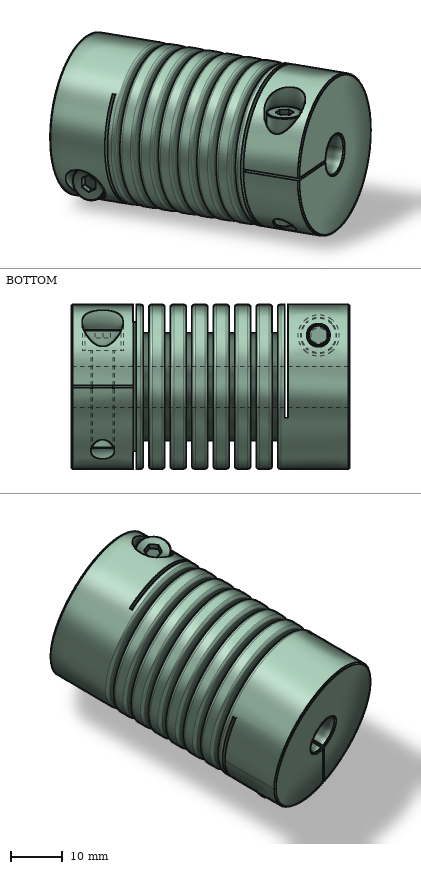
import cadquery as cq
import math

length = 54.0
outer_diameter = 32.0
outer_radius = outer_diameter / 2
bore_radius = 4.0
end_chamfer = 0.25
bore_chamfer = 0.25

hub_length = 14.0
groove_count = 7
groove_width = 1.0
groove_radius = 10.55
rib_fillet = 0.65

slit_offset = 12.0
slit_width = 0.6
left_slit_floor = 9.95
right_slit_floor = 6.0
slot_width = 0.5

screw_inset = 6.05
screw_offset = 10.0
head_radius = 3.5
head_height = 4.0
head_chamfer = 0.15
head_top = 11.0
socket_width = 3.0
socket_depth = 1.5
shank_radius = 2.0
screw_end = 11.95
counterbore_radius = 4.0
clearance_radius = 2.25

half_length = length / 2
head_seat = head_top - head_height
reach = 2 * outer_radius


def x_cylinder(radius, x_start, width):
    return cq.Workplane("YZ", origin=(x_start, 0, 0)).circle(radius).extrude(width)


def box_between(x_range, y_range, z_range):
    spans = [high - low for low, high in (x_range, y_range, z_range)]
    corner = (x_range[0], y_range[0], z_range[0])
    return cq.Workplane("XY", origin=corner).box(*spans, centered=False)


def place_left(shape):
    """Turn a shape built on the Z axis into the left screw's place, head toward -Y."""
    turned = shape.rotate((0, 0, 0), (1, 0, 0), 90)
    return turned.translate((screw_inset - half_length, 0, -screw_offset))


def place_right(shape):
    """Move a shape built on the Z axis into the right screw's place, head toward +Z."""
    return shape.translate((half_length - screw_inset, -screw_offset, 0))


def bellows_blank():
    """Round body with rounded ribs standing on a narrower core."""
    blank = x_cylinder(groove_radius, -half_length, length)
    bellows_length = length - 2 * hub_length
    pitch = (bellows_length - groove_width) / (groove_count - 1)
    left_hub = x_cylinder(outer_radius, -half_length, hub_length)
    left_hub = left_hub.faces("<X").chamfer(end_chamfer)
    left_hub = left_hub.faces(">X").edges().fillet(rib_fillet)
    blank = blank.union(left_hub).union(left_hub.mirror("YZ"))
    for index in range(groove_count - 1):
        rib_start = hub_length - half_length + groove_width + index * pitch
        rib = x_cylinder(outer_radius, rib_start, pitch - groove_width)
        blank = blank.union(rib.edges().fillet(rib_fillet))
    return blank


def bore():
    """Through bore with a chamfer at each end."""
    mouth = bore_radius + bore_chamfer
    profile = [
        (-half_length, 0),
        (-half_length, mouth),
        (bore_chamfer - half_length, bore_radius),
        (half_length - bore_chamfer, bore_radius),
        (half_length, mouth),
        (half_length, 0),
    ]
    return cq.Workplane("XY").polyline(profile).close().revolve(360, (0, 0, 0), (1, 0, 0))


def clamp_cuts():
    """Cross slit and clamp slot of each hub."""
    full = (-reach, reach)
    thin = (-slot_width / 2, slot_width / 2)
    below = (-reach, 0)
    left_near = slit_offset - half_length
    left_slit = box_between((left_near, left_near + slit_width), full, (-reach, left_slit_floor))
    left_slot = box_between((-half_length, left_near), thin, below)
    right_near = half_length - slit_offset
    right_slit = box_between((right_near - slit_width, right_near), (-reach, right_slit_floor), full)
    right_slot = box_between((right_near, half_length), below, thin)
    return [left_slit, left_slot, right_slit, right_slot]


def screw_hole():
    """Counterbored through hole along Z."""
    clearance = cq.Workplane("XY", origin=(0, 0, -reach)).circle(clearance_radius).extrude(2 * reach)
    counterbore = cq.Workplane("XY", origin=(0, 0, head_seat)).circle(counterbore_radius).extrude(reach)
    return clearance.union(counterbore)


def make_screw():
    """Socket head cap screw along Z, head up."""
    head = cq.Workplane("XY", origin=(0, 0, head_seat)).circle(head_radius).extrude(head_height)
    head = head.faces(">Z").chamfer(head_chamfer)
    shank = cq.Workplane("XY", origin=(0, 0, -screw_end)).circle(shank_radius).extrude(screw_end + head_seat)
    shank = shank.faces("<Z").chamfer(head_chamfer)
    socket = (
        cq.Workplane("XY", origin=(0, 0, head_top - socket_depth))
        .transformed(rotate=(0, 0, 90))
        .polygon(6, socket_width / math.cos(math.pi / 6))
        .extrude(socket_depth)
    )
    return head.union(shank).cut(socket)


def make_coupling():
    coupling = bellows_blank().cut(bore())
    for cut in clamp_cuts():
        coupling = coupling.cut(cut)
    for place in (place_left, place_right):
        coupling = coupling.cut(place(screw_hole()))
    return coupling


coupling = make_coupling()
screws = [place(make_screw()) for place in (place_left, place_right)]

result = cq.Compound.makeCompound([coupling.val(), *[screw.val() for screw in screws]])